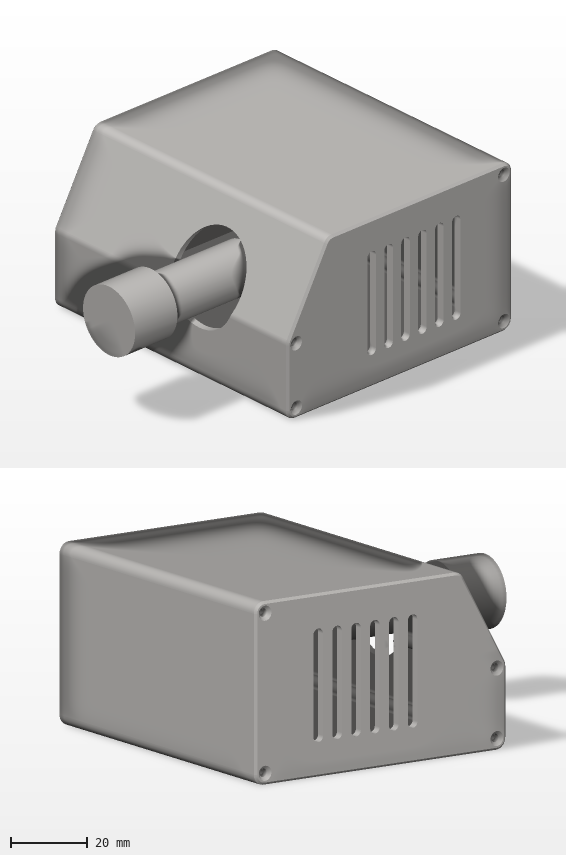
import cadquery as cq
import math


total_width = 90.1
overall_length = 112.0
depth = 80.0
height = 49.1
slope_angle = 61.0
slope_bottom_z = 23.0
corner_radius = 3.0
wall = 2.0

plate_thickness = 2.2
plate_chamfer = 0.7
housing_width = total_width - 2 * plate_thickness

slot_count = 6
slot_width = 3.0
slot_length = 30.4
slot_row_span = 30.0
slot_back_inset = 20.0
slot_pitch = slot_row_span / (slot_count - 1)

screw_inset = 3.1
upper_front_screw_z = 22.0
clearance_diameter = 2.2
countersink_diameter = 4.0
countersink_angle = 90.0
pilot_diameter = 1.6
boss_diameter = 3.6
boss_root_radius = 0.7
screw_points = [
    (screw_inset, screw_inset),
    (screw_inset, upper_front_screw_z),
    (depth - screw_inset, screw_inset),
    (depth - screw_inset, height - screw_inset),
]

spindle_x = 11.1
spindle_z = 28.0
opening_diameter = 26.0
opening_depth = 13.4
stem_diameter = 15.0
knob_diameter = 20.0
knob_length = 15.0
overhang = overall_length - depth
stem_inner_y = 15.0


def side_profile(x):
    """Enclosure outline in the YZ plane at the given X."""
    slope_run = (height - slope_bottom_z) / math.tan(math.radians(slope_angle))
    return cq.Workplane("YZ", origin=(x, 0, 0)).polyline([
        (0, 0),
        (depth, 0),
        (depth, height),
        (slope_run, height),
        (0, slope_bottom_z),
    ]).close()


def enclosure_block(x, width):
    """Solid slice of the enclosure with its lengthwise edges rounded."""
    return side_profile(x).extrude(width).edges("|X").fillet(corner_radius)


def rods_along_x(points, diameter, x, length):
    """Cylinders parallel to X at the given (Y, Z) points."""
    return cq.Workplane("YZ", origin=(x, 0, 0)).pushPoints(points).circle(diameter / 2).extrude(length)


def is_boss_root(edge):
    """True for a lengthwise edge that lies on the surface of a screw boss."""
    centre = edge.Center()
    return any(
        math.isclose(math.hypot(centre.y - y, centre.z - z), boss_diameter / 2, abs_tol=0.0001)
        for y, z in screw_points
    )


def build_housing():
    """Open-ended sleeve with four screw bosses and the spindle opening."""
    start_x = -housing_width / 2
    block = enclosure_block(start_x, housing_width)
    inner_outline = block.faces("<X").wires().toPending().workplane().offset2D(-wall)
    cavity = inner_outline.extrude(-housing_width, combine=False)
    cavity = cavity.cut(rods_along_x(screw_points, boss_diameter, start_x, housing_width))
    cavity = cavity.edges("|X").filter(is_boss_root).fillet(boss_root_radius)
    pilots = rods_along_x(screw_points, pilot_diameter, start_x, housing_width)
    opening_plane = cq.Workplane("XZ", origin=(spindle_x, 0, spindle_z))
    opening = opening_plane.circle(opening_diameter / 2).extrude(-opening_depth)
    return block.cut(cavity).cut(pilots).cut(opening)


def vent_slots(face):
    """Row of upright round-ended slots, cut from the outer face of a plate."""
    first_y = depth - slot_back_inset
    slot_points = [(first_y - index * slot_pitch, height / 2) for index in range(slot_count)]
    return face.pushPoints(slot_points).slot2D(slot_length, slot_width, 90).extrude(plate_thickness)


def countersunk_hole(face, y, z):
    """Clearance hole with a conical seat for the screw head."""
    seat_radius = countersink_diameter / 2
    hole_radius = clearance_diameter / 2
    cone_depth = (seat_radius - hole_radius) / math.tan(math.radians(countersink_angle / 2))
    hole = face.center(y, z).circle(hole_radius).extrude(plate_thickness)
    seat = face.center(y, z).circle(seat_radius).workplane(offset=cone_depth).circle(hole_radius).loft()
    return hole.union(seat)


def build_side_plate():
    """Left plate: chamfered rim, vent slots and countersunk screw holes."""
    outer_x = -total_width / 2
    outer_face = cq.Workplane("YZ", origin=(outer_x, 0, 0))
    plate = enclosure_block(outer_x, plate_thickness)
    plate = plate.faces("<X").edges().chamfer(plate_chamfer)
    plate = plate.cut(vent_slots(outer_face))
    for y, z in screw_points:
        plate = plate.cut(countersunk_hole(outer_face, y, z))
    return plate


def build_spindle():
    """Stem with a larger round knob on its outer end."""
    stem_length = overhang - knob_length + stem_inner_y
    knob_face = cq.Workplane("XZ", origin=(spindle_x, -overhang, spindle_z))
    knob = knob_face.circle(knob_diameter / 2).extrude(-knob_length)
    stem_face = knob.faces(">Y").workplane(centerOption="CenterOfMass")
    return stem_face.circle(stem_diameter / 2).extrude(stem_length)


housing = build_housing()
left_plate = build_side_plate()
right_plate = left_plate.mirror("YZ")
spindle = build_spindle()

result = cq.Compound.makeCompound([
    housing.solids().val(),
    left_plate.solids().val(),
    right_plate.solids().val(),
    spindle.solids().val(),
])